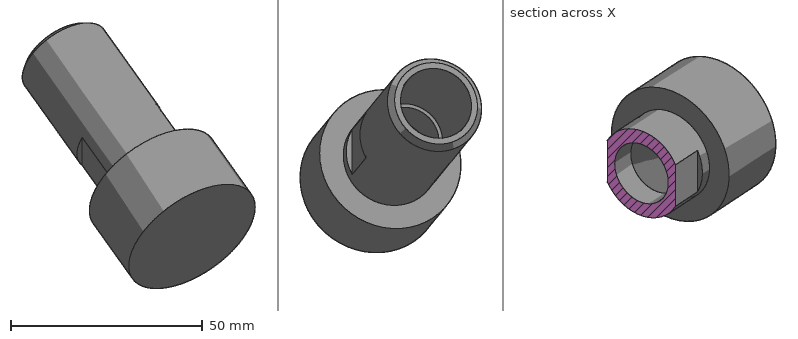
import cadquery as cq
import math

total_length = 69.85
shank_length = 47.65
dome_height = 1.55

head_radius = 19.1
shank_radius = 12.7
shank_chamfer = 1.55

flat_start = 30.2
flat_length = 14.3
flat_spacing = 22.2

mouth_radius = 9.6
mouth_depth = 30.2
drill_radius = 8.6
drill_depth = 41.9
drill_tip_angle = 118.0


def make_body():
    """Revolve the chamfered shank and domed head about the X axis."""
    dome_start = total_length - dome_height
    dome_radius = (head_radius**2 + dome_height**2) / (2 * dome_height)
    dome_center = total_length - dome_radius
    mid_angle = math.asin(head_radius / dome_radius) / 2
    dome_middle = (
        dome_center + dome_radius * math.cos(mid_angle),
        dome_radius * math.sin(mid_angle),
    )
    return (
        cq.Workplane("XY")
        .lineTo(0, shank_radius - shank_chamfer)
        .lineTo(shank_chamfer, shank_radius)
        .lineTo(shank_length, shank_radius)
        .lineTo(shank_length, head_radius)
        .lineTo(dome_start, head_radius)
        .threePointArc(dome_middle, (total_length, 0))
        .close()
        .revolve(360, (0, 0, 0), (1, 0, 0))
    )


def make_bore():
    """Revolve the stepped bore, open at the shank end."""
    tip_length = drill_radius / math.tan(math.radians(drill_tip_angle / 2))
    return (
        cq.Workplane("XY")
        .lineTo(0, mouth_radius)
        .lineTo(mouth_depth, mouth_radius)
        .lineTo(mouth_depth, drill_radius)
        .lineTo(drill_depth, drill_radius)
        .lineTo(drill_depth + tip_length, 0)
        .close()
        .revolve(360, (0, 0, 0), (1, 0, 0))
    )


def make_flat_cutter(side):
    """Block that removes the shank material outside one flat; side is +1 or -1."""
    cut_depth = shank_radius
    return cq.Workplane("XY").box(flat_length, cut_depth, 2 * shank_radius).translate(
        (flat_start + flat_length / 2, side * (flat_spacing + cut_depth) / 2, 0)
    )


result = make_body().cut(make_bore())
for side in (-1, 1):
    result = result.cut(make_flat_cutter(side))